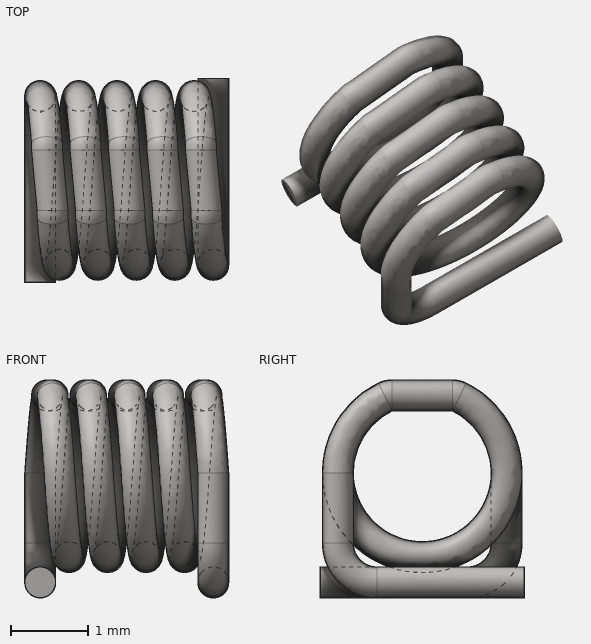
import cadquery as cq
import math

WIRE_DIA = 0.4
LENGTH_X = 2.64
LEG_SPAN_Y = 2.64
HEIGHT = 2.82
COIL_RADIUS = 1.09
TURNS = 4.5
FLAT_HALF_ANGLE = 26.0
LEG_BEND_RADIUS = 0.508

wire_radius = WIRE_DIA / 2
leg_spacing = LENGTH_X - WIRE_DIA
pitch = leg_spacing / TURNS
flat_count = math.ceil(TURNS)

inner_radius = COIL_RADIUS - wire_radius
flat_half_length = inner_radius * math.sin(math.radians(FLAT_HALF_ANGLE))
flat_center_z = inner_radius * math.cos(math.radians(FLAT_HALF_ANGLE)) + wire_radius
foot_z = flat_center_z + WIRE_DIA - HEIGHT


def advance(angle):
    """X position of the coil at a winding angle in degrees, counted from the +Y side."""
    return pitch * angle / 360


def turn_to(solid, angle):
    """Move a piece made at winding angle zero to its place along the coil."""
    turned = solid.rotate((0, 0, 0), (1, 0, 0), angle)
    return turned.translate((advance(angle), 0, 0))


def coil_arc(start, end):
    """Helical stretch of wire between two winding angles."""
    winding_plane = cq.Plane(origin=(0, 0, 0), xDir=(0, 1, 0), normal=(1, 0, 0))
    helix = cq.Wire.makeHelix(pitch, advance(end - start), COIL_RADIUS)
    path = cq.Workplane(obj=helix.located(cq.Location(winding_plane)))
    arc = cq.Workplane("XY").center(0, COIL_RADIUS).circle(wire_radius).sweep(path, isFrenet=True)
    return turn_to(arc, start)


def flat_bend(angle, direction):
    """Tight bend at the end of a coil arc, turning by the flat's half angle."""
    bend = (
        cq.Workplane("XY")
        .center(0, COIL_RADIUS)
        .circle(wire_radius)
        .revolve(FLAT_HALF_ANGLE, (0, -wire_radius, 0), (direction, -wire_radius, 0))
    )
    return turn_to(bend, angle)


def flat_top(start, end):
    """Straight stretch across the top, leaning along X with the winding."""
    start_section = cq.Wire.makeCircle(
        wire_radius, cq.Vector(advance(start), flat_half_length, flat_center_z), cq.Vector(0, 1, 0)
    )
    end_section = cq.Wire.makeCircle(
        wire_radius, cq.Vector(advance(end), -flat_half_length, flat_center_z), cq.Vector(0, 1, 0)
    )
    return cq.Workplane(obj=cq.Solid.makeLoft([start_section, end_section], True))


def leg(x, side):
    """Leg going down from one side of the coil, with a foot running to the other side."""
    bend_y = COIL_RADIUS - LEG_BEND_RADIUS
    bend_z = foot_z + LEG_BEND_RADIUS
    mid_offset = LEG_BEND_RADIUS * math.sqrt(0.5)
    path = (
        cq.Workplane("YZ", origin=(x, 0, 0))
        .moveTo(side * COIL_RADIUS, 0)
        .lineTo(side * COIL_RADIUS, bend_z)
        .threePointArc(
            (side * (bend_y + mid_offset), bend_z - mid_offset),
            (side * bend_y, foot_z),
        )
        .lineTo(-side * LEG_SPAN_Y / 2, foot_z)
    )
    return cq.Workplane("XY").center(x, side * COIL_RADIUS).circle(wire_radius).sweep(path)


pieces = [leg(0, 1)]
arc_start = 0
for turn in range(flat_count):
    top_angle = 90 + 360 * turn
    flat_start = top_angle - FLAT_HALF_ANGLE
    flat_end = top_angle + FLAT_HALF_ANGLE
    pieces.append(coil_arc(arc_start, flat_start))
    pieces.append(flat_bend(flat_start, 1))
    pieces.append(flat_top(flat_start, flat_end))
    pieces.append(flat_bend(flat_end, -1))
    arc_start = flat_end
pieces.append(coil_arc(arc_start, 360 * TURNS))
pieces.append(leg(leg_spacing, -1))

skin = []
for piece in pieces:
    skin += piece.faces("not %PLANE").vals()
skin += pieces[0].faces("<Y").vals()
skin += pieces[-1].faces(">Y").vals()
result = cq.Workplane(obj=cq.Solid.makeSolid(cq.Shell.makeShell(skin)))